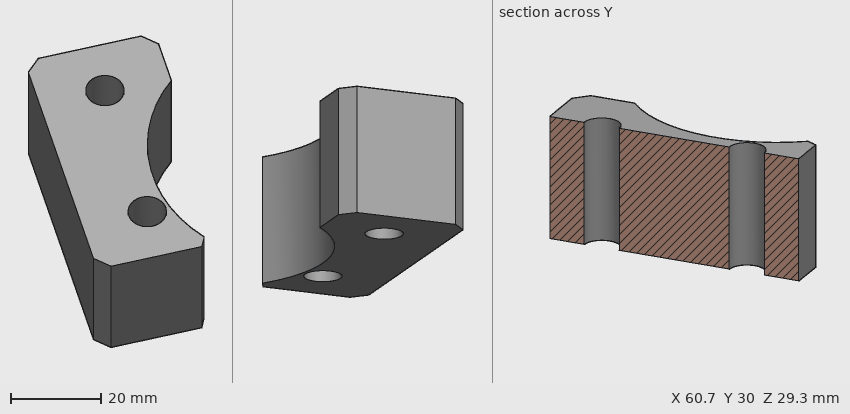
import cadquery as cq
import math

LENGTH = 60.73
WIDTH = 30.0
HEIGHT = 29.28
CHAMFER = 3.17

HOLE_DIAMETER = 8.5
HOLE_SPACING = 35.36

SADDLE_RADIUS = 33.1
SADDLE_CENTER_X = 8.25
SADDLE_DEPTH = 11.15

HORN_TIP_INSET = 2.5
HORN_SHOULDER_DROP = 5.95

RIGHT = LENGTH / 2
LEFT = -RIGHT
BACK = WIDTH / 2
FRONT = -BACK
SADDLE_BOTTOM_Y = BACK - SADDLE_DEPTH
SADDLE_CENTER_Y = SADDLE_BOTTOM_Y + SADDLE_RADIUS
HORN_TIP_X = RIGHT - HORN_TIP_INSET


def make_block():
    """Extruded outline with bevelled corners and the concave saddle."""
    saddle_start_x = SADDLE_CENTER_X - math.sqrt(SADDLE_RADIUS**2 - (SADDLE_CENTER_Y - BACK) ** 2)
    horn_tip_y = SADDLE_CENTER_Y - math.sqrt(SADDLE_RADIUS**2 - (HORN_TIP_X - SADDLE_CENTER_X) ** 2)
    return (
        cq.Workplane("XY")
        .moveTo(LEFT + CHAMFER, FRONT)
        .lineTo(RIGHT - CHAMFER, FRONT)
        .lineTo(RIGHT, FRONT + CHAMFER)
        .lineTo(RIGHT, BACK - HORN_SHOULDER_DROP)
        .lineTo(HORN_TIP_X, horn_tip_y)
        .threePointArc((SADDLE_CENTER_X, SADDLE_BOTTOM_Y), (saddle_start_x, BACK))
        .lineTo(LEFT + CHAMFER, BACK)
        .lineTo(LEFT, BACK - CHAMFER)
        .lineTo(LEFT, FRONT + CHAMFER)
        .close()
        .extrude(HEIGHT)
    )


def drill_holes(block):
    """Two holes through the full height, midway across the width."""
    return (
        block.faces(">Z")
        .workplane(origin=(0, 0, HEIGHT))
        .pushPoints([(-HOLE_SPACING / 2, 0), (HOLE_SPACING / 2, 0)])
        .hole(HOLE_DIAMETER)
    )


result = drill_holes(make_block())